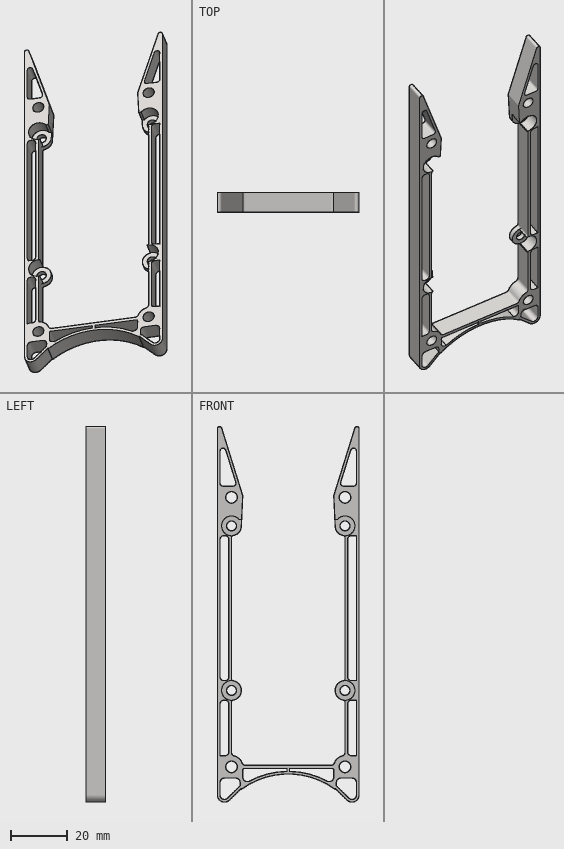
import cadquery as cq
import math

width = 50.0
depth = 7.0
height = 132.45
wall = 1.0
half_width = width / 2

hole_x = half_width - 5.0
through_dia = 4.0
low_through_z = height - 120.0
high_through_z = low_through_z + 95.0
screw_dia = 3.4
high_screw_z = high_through_z - 10.05
low_screw_z = high_screw_z - 58.0
boss_dia = 7.0
recess_mouth_rise = 2.2
boss_thickness = 2.0
hub_radius = 4.0

rib_outer_x = half_width - 4.0
rib_inner_x = rib_outer_x - wall
slot_end_offset = boss_dia / 2
low_slot_z = low_through_z + 4.0
slot_radius = 1.25

arm_inner_x = half_width - 9.0
taper_angle = math.radians(17.3)
tip_radius = 0.8
knee_radius = 1.0
arm_window_z = high_through_z + 4.0
arm_window_radius = 1.0

foot_radius = 2.5
foot_angle = math.radians(44)
arch_radius = 28.0
arch_top_z = 9.9
bar_thickness = 1.2
bar_top_z = low_through_z + bar_thickness / 2
bar_bottom_z = bar_top_z - bar_thickness
foot_window_top_z = low_through_z - 4.0
foot_window_x = half_width - 8.0
foot_window_radius = 1.5
arch_window_bottom_z = 7.3
arch_window_radius = 1.5
boss_blend_radius = 0.7
hub_blend_radius = 1.3
bar_window_radius = 0.5

arch_center_z = arch_top_z - arch_radius
apex_z = height - tip_radius + tip_radius * (1 + 1 / math.cos(taper_angle)) / math.tan(taper_angle)


def prism(sketch):
    """Extrude a closed XZ outline through the full depth, front face at Y = 0."""
    return sketch.close().extrude(-depth)


def polygon(points):
    return prism(cq.Workplane("XZ").polyline(points))


def box(x_min, x_max, z_min, z_max):
    return polygon([(x_min, z_min), (x_max, z_min), (x_max, z_max), (x_min, z_max)])


def cylinder(x, z, diameter, length=depth):
    """Round bar along Y that ends at the back face."""
    return cq.Workplane("XZ", origin=(x, depth, z)).circle(diameter / 2).extrude(length)


def round_corner(body, x, z, radius):
    """Round the Y-parallel edge nearest to (x, z)."""
    corner = cq.selectors.NearestToPointSelector((x, depth / 2, z))
    return body.edges("|Y").edges(corner).fillet(radius)


def arch_z(x, radius):
    return arch_center_z + math.sqrt(radius**2 - x**2)


def foot_edge_x(z, inset):
    """X of the foot's sloped inner edge, moved inward by inset."""
    center = half_width - foot_radius
    reach = (foot_radius - inset) / math.sin(foot_angle)
    return center - reach - (z - foot_radius) / math.tan(foot_angle)


def foot_edge_z(x, inset):
    return foot_radius + (foot_edge_x(foot_radius, inset) - x) * math.tan(foot_angle)


def taper_x(z, inset):
    """X of the arm's tapered edge, moved toward the outer side by inset."""
    return half_width - (apex_z - z) * math.tan(taper_angle) + inset / math.cos(taper_angle)


def taper_z(x, inset):
    return apex_z - (half_width - x + inset / math.cos(taper_angle)) / math.tan(taper_angle)


def make_side():
    """Build the +X rail with its arm, foot, bosses and hub, still without openings."""
    knee_z = taper_z(arm_inner_x, 0)
    side = polygon([
        (half_width, apex_z),
        (arm_inner_x, knee_z),
        (hole_x - boss_dia / 2, high_screw_z),
        (rib_inner_x, high_screw_z),
        (rib_inner_x, low_through_z),
        (arm_inner_x, low_through_z),
        (arm_inner_x, foot_edge_z(arm_inner_x, 0)),
        (half_width, foot_edge_z(half_width, 0)),
    ])
    side = round_corner(side, half_width, apex_z, tip_radius)
    side = round_corner(side, arm_inner_x, knee_z, knee_radius)
    side = round_corner(side, half_width, foot_edge_z(half_width, 0), foot_radius)
    side = side.union(cylinder(hole_x, low_through_z, 2 * hub_radius))
    for z in (low_screw_z, high_screw_z):
        side = side.union(cylinder(hole_x, z, boss_dia))
    return side


def make_arch():
    """Half of the crossbar with the arch below it, solid between them."""
    end_x = arm_inner_x + wall / 2
    mid_x = end_x / 2
    return prism(
        cq.Workplane("XZ")
        .moveTo(0, bar_top_z)
        .lineTo(end_x, bar_top_z)
        .lineTo(end_x, arch_z(end_x, arch_radius))
        .threePointArc((mid_x, arch_z(mid_x, arch_radius)), (0, arch_top_z))
    )


def blend_junctions(body):
    """Round the inside corners where the rib and bar meet bosses and the hub."""
    boss_rise = math.sqrt((boss_dia / 2) ** 2 - (hole_x - rib_inner_x) ** 2)
    hub_rise = math.sqrt(hub_radius**2 - (hole_x - rib_inner_x) ** 2)
    hub_reach = math.sqrt(hub_radius**2 - (bar_top_z - low_through_z) ** 2)
    boss_corners = [
        high_screw_z - boss_rise,
        low_screw_z + boss_rise,
        low_screw_z - boss_rise,
    ]
    for z in boss_corners:
        body = round_corner(body, rib_inner_x, z, boss_blend_radius)
    body = round_corner(body, rib_inner_x, low_through_z + hub_rise, hub_blend_radius)
    body = round_corner(body, hole_x - hub_reach, bar_top_z, hub_blend_radius)
    return body


def slot_window(z_min, z_max, rounded_outer_ends):
    """Long +X slot: rib corners are rounded, wall corners only at the listed ends."""
    wall_x = half_width - wall
    slot = box(rib_outer_x, wall_x, z_min, z_max)
    for z in (z_min, z_max):
        slot = round_corner(slot, rib_outer_x, z, slot_radius)
    for z in rounded_outer_ends:
        slot = round_corner(slot, wall_x, z, slot_radius)
    return slot


def arm_window():
    x_max = half_width - wall
    low_x = taper_x(arm_window_z, wall)
    top_z = taper_z(x_max, wall)
    window = polygon([(low_x, arm_window_z), (x_max, arm_window_z), (x_max, top_z)])
    window = round_corner(window, x_max, top_z, arm_window_radius)
    window = round_corner(window, low_x, arm_window_z, arm_window_radius)
    return round_corner(window, x_max, arm_window_z, arm_window_radius)


def foot_window():
    x_max = half_width - wall
    low_z = foot_edge_z(x_max, wall)
    window = polygon([
        (foot_window_x, foot_window_top_z),
        (x_max, foot_window_top_z),
        (x_max, low_z),
        (foot_window_x, foot_edge_z(foot_window_x, wall)),
    ])
    window = round_corner(window, x_max, low_z, foot_radius - wall)
    for x in (foot_window_x, x_max):
        window = round_corner(window, x, foot_window_top_z, foot_window_radius)
    return window


def arch_window():
    """Opening between crossbar and arch, beside the web at the middle."""
    web_x = wall / 2
    top_radius = arch_radius + wall
    low_x = math.sqrt(top_radius**2 - (arch_window_bottom_z - arch_center_z) ** 2)
    mid_x = low_x / 2
    window = prism(
        cq.Workplane("XZ")
        .moveTo(web_x, bar_bottom_z)
        .lineTo(arm_inner_x, bar_bottom_z)
        .lineTo(arm_inner_x, arch_window_bottom_z)
        .lineTo(low_x, arch_window_bottom_z)
        .threePointArc((mid_x, arch_z(mid_x, top_radius)), (web_x, arch_z(web_x, top_radius)))
    )
    window = round_corner(window, arm_inner_x, bar_bottom_z, bar_window_radius)
    return round_corner(window, arm_inner_x, arch_window_bottom_z, arch_window_radius)


def cut_windows(body):
    for window in (arm_window(), foot_window(), arch_window()):
        body = body.cut(window)
    return body


def cut_slots(body):
    """Cut the rail slots; the wall corners are square on +X but mostly round on -X."""
    high_ends = (low_screw_z + slot_end_offset, high_screw_z - slot_end_offset)
    low_ends = (low_slot_z, low_screw_z - slot_end_offset)
    for ends, left_rounded in ((high_ends, high_ends), (low_ends, low_ends[1:])):
        right_slot = slot_window(*ends, ())
        left_slot = slot_window(*ends, left_rounded).mirror("YZ")
        body = body.cut(right_slot).cut(left_slot)
    return body


def cut_holes(body):
    for z in (low_through_z, high_through_z):
        body = body.cut(cylinder(hole_x, z, through_dia))
    recess_depth = depth - boss_thickness
    for z in (low_screw_z, high_screw_z):
        recess = cylinder(hole_x, z, boss_dia, recess_depth).translate((0, -boss_thickness, 0))
        body = body.cut(recess)
        body = body.cut(cylinder(hole_x, z, screw_dia))
    mouth = box(arm_inner_x, hole_x, high_screw_z, high_screw_z + recess_mouth_rise)
    body = body.cut(mouth.translate((0, -boss_thickness, 0)))
    return body


half = make_side().union(make_arch())
half = blend_junctions(half)
half = cut_holes(cut_windows(half))
result = cut_slots(half.union(half.mirror("YZ")))